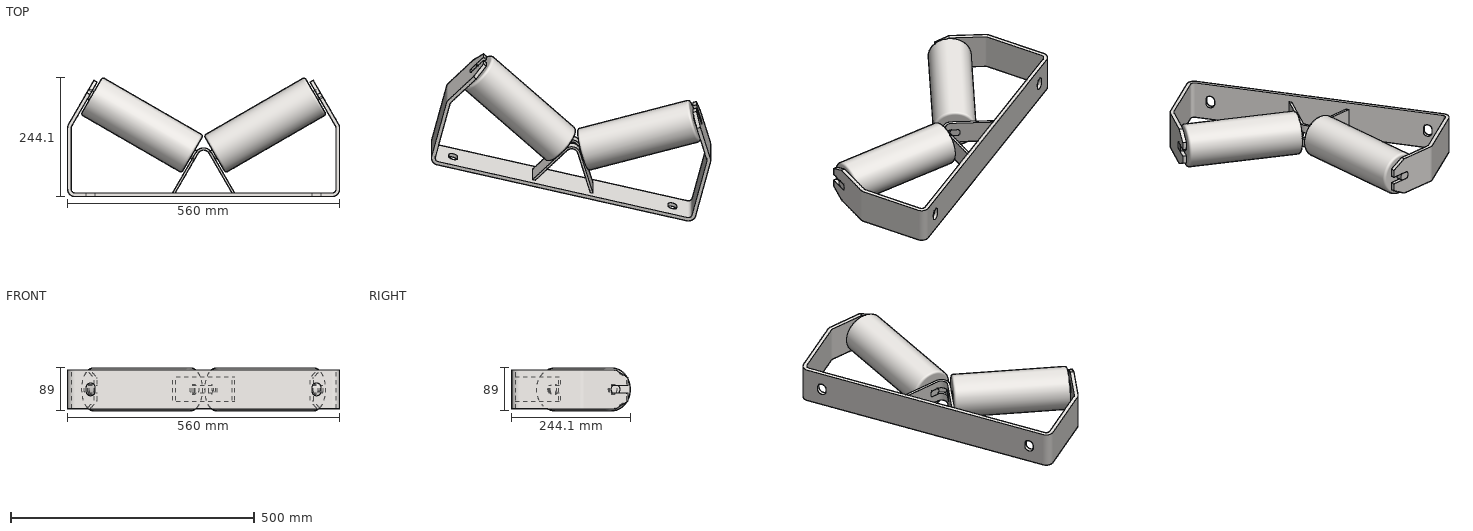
import cadquery as cq
import math

SIDES = (-1, 1)
TILT = math.radians(30)
SIN, COS = math.sin(TILT), math.cos(TILT)

FRAME_LENGTH = 560.0
FRAME_WIDTH = 80.0
FRAME_THICKNESS = 8.0
BEND_INNER_RADIUS = 8.0
BEND_OUTER_RADIUS = BEND_INNER_RADIUS + FRAME_THICKNESS
WALL_HEIGHT = 145.5
ARM_LENGTH = 108.5
ARM_TIP_WIDTH = 47.5
ARM_TAPER_LENGTH = 29.5
MOUNT_SLOT_SPACING = 465.0
MOUNT_SLOT_WIDTH = 18.5
MOUNT_SLOT_LENGTH = 26.5

ROLLER_DIAMETER = 89.0
ROLLER_LENGTH = 239.5
ROLLER_EDGE_RADIUS = 5.0
AXLE_DIAMETER = 21.0
AXLE_FLAT_WIDTH = 15.0
AXLE_ALONG_ARM = 78.5
SUPPORT_GAP = 248.0

BRACKET_WIDTH = 50.5
BRACKET_THICKNESS = 5.0
BRACKET_OUTER_RADIUS = 18.0

HALF_LENGTH = FRAME_LENGTH / 2
BRACKET_FACE = FRAME_THICKNESS + SUPPORT_GAP
AXLE_LENGTH = BRACKET_FACE + BRACKET_THICKNESS
ROLLER_START = FRAME_THICKNESS + (SUPPORT_GAP - ROLLER_LENGTH) / 2
AXLE_RADIUS = AXLE_DIAMETER / 2
FLAT_HALF = AXLE_FLAT_WIDTH / 2
FLAT_REACH = math.sqrt(AXLE_RADIUS**2 - FLAT_HALF**2)
AXLE_X = HALF_LENGTH - AXLE_ALONG_ARM * SIN
AXLE_Y = WALL_HEIGHT + AXLE_ALONG_ARM * COS


def axle_plane(side, distance=0.0):
    """Plane square to an axle: local X runs up the arm, the normal points to the bracket."""
    origin = (side * (AXLE_X - distance * COS), AXLE_Y - distance * SIN, 0)
    return cq.Plane(origin=origin, xDir=(-side * SIN, COS, 0), normal=(-side * COS, -SIN, 0))


def open_slot(side, distance, rise, depth):
    """Slot cutter with straight sides and a floor that follows the axle's round."""
    return (
        cq.Workplane(axle_plane(side, distance))
        .moveTo(rise, FLAT_HALF)
        .lineTo(-FLAT_REACH, FLAT_HALF)
        .threePointArc((-AXLE_RADIUS, 0), (-FLAT_REACH, -FLAT_HALF))
        .lineTo(rise, -FLAT_HALF)
        .close()
        .extrude(depth)
    )


def round_bends(body, corners, radius):
    """Round the Z-parallel edge nearest each corner, on both sides of the YZ plane."""
    for x, y in corners:
        for side in SIDES:
            corner = cq.NearestToPointSelector((side * x, y, 0))
            body = body.edges("|Z").edges(corner).fillet(radius)
    return body


def make_frame():
    wall_inside = HALF_LENGTH - FRAME_THICKNESS
    outer_corners = [(HALF_LENGTH, 0), (HALF_LENGTH, WALL_HEIGHT)]
    inner_corners = [
        (wall_inside, WALL_HEIGHT - FRAME_THICKNESS * math.tan(TILT / 2)),
        (wall_inside, FRAME_THICKNESS),
    ]
    tip_outer = (HALF_LENGTH - ARM_LENGTH * SIN, WALL_HEIGHT + ARM_LENGTH * COS)
    tip_inner = (tip_outer[0] - FRAME_THICKNESS * COS, tip_outer[1] - FRAME_THICKNESS * SIN)
    right_half = outer_corners + [tip_outer, tip_inner] + inner_corners
    left_half = [(-x, y) for x, y in reversed(right_half)]
    frame = cq.Workplane("XY").polyline(right_half + left_half).close().extrude(FRAME_WIDTH / 2, both=True)
    frame = round_bends(frame, outer_corners, BEND_OUTER_RADIUS)
    frame = round_bends(frame, inner_corners, BEND_INNER_RADIUS)

    tip_rise = ARM_LENGTH - AXLE_ALONG_ARM
    for side in SIDES:
        frame = frame.cut(open_slot(side, 0, tip_rise, FRAME_THICKNESS))
        for edge in SIDES:
            corner_cut = (
                cq.Workplane(axle_plane(side))
                .polyline([
                    (tip_rise, edge * ARM_TIP_WIDTH / 2),
                    (tip_rise, edge * FRAME_WIDTH / 2),
                    (tip_rise - ARM_TAPER_LENGTH, edge * FRAME_WIDTH / 2),
                ])
                .close()
                .extrude(FRAME_THICKNESS)
            )
            frame = frame.cut(corner_cut)

    mount_slots = (
        cq.Workplane("XZ")
        .pushPoints([(side * MOUNT_SLOT_SPACING / 2, 0) for side in SIDES])
        .slot2D(MOUNT_SLOT_LENGTH, MOUNT_SLOT_WIDTH, 90)
        .extrude(-FRAME_THICKNESS)
    )
    return frame.cut(mount_slots)


def make_bracket():
    face_x = AXLE_X - BRACKET_FACE * COS
    face_y = AXLE_Y - BRACKET_FACE * SIN
    outer_peak = face_y + face_x / math.tan(TILT)
    inner_peak = outer_peak - BRACKET_THICKNESS / SIN
    outer_foot = (outer_peak - FRAME_THICKNESS) * math.tan(TILT)
    inner_foot = (inner_peak - FRAME_THICKNESS) * math.tan(TILT)
    bracket = (
        cq.Workplane("XY")
        .polyline([
            (-outer_foot, FRAME_THICKNESS),
            (0, outer_peak),
            (outer_foot, FRAME_THICKNESS),
            (inner_foot, FRAME_THICKNESS),
            (0, inner_peak),
            (-inner_foot, FRAME_THICKNESS),
        ])
        .close()
        .extrude(BRACKET_WIDTH / 2, both=True)
    )
    for peak, radius in (
        (outer_peak, BRACKET_OUTER_RADIUS),
        (inner_peak, BRACKET_OUTER_RADIUS - BRACKET_THICKNESS),
    ):
        bracket = bracket.edges("|Z").edges(cq.NearestToPointSelector((0, peak, 0))).fillet(radius)
    for side in SIDES:
        bracket = bracket.cut(open_slot(side, BRACKET_FACE, face_x / SIN, BRACKET_OUTER_RADIUS))
    return bracket


def make_roller(side):
    roller = (
        cq.Workplane(axle_plane(side, ROLLER_START))
        .circle(ROLLER_DIAMETER / 2)
        .extrude(ROLLER_LENGTH)
        .edges("%CIRCLE")
        .fillet(ROLLER_EDGE_RADIUS)
    )
    axle = cq.Workplane(axle_plane(side)).circle(AXLE_RADIUS).extrude(AXLE_LENGTH)
    for start, length in ((0, FRAME_THICKNESS), (BRACKET_FACE, BRACKET_THICKNESS)):
        outside_flats = (
            cq.Workplane(axle_plane(side, start))
            .pushPoints([(0, edge * AXLE_FLAT_WIDTH) for edge in SIDES])
            .rect(AXLE_DIAMETER, AXLE_FLAT_WIDTH)
            .extrude(length)
        )
        axle = axle.cut(outside_flats)
    return roller.union(axle)


frame = make_frame()
bracket = make_bracket()
rollers = [make_roller(side) for side in SIDES]

result = cq.Compound.makeCompound([frame.val(), bracket.val(), *[roller.val() for roller in rollers]])